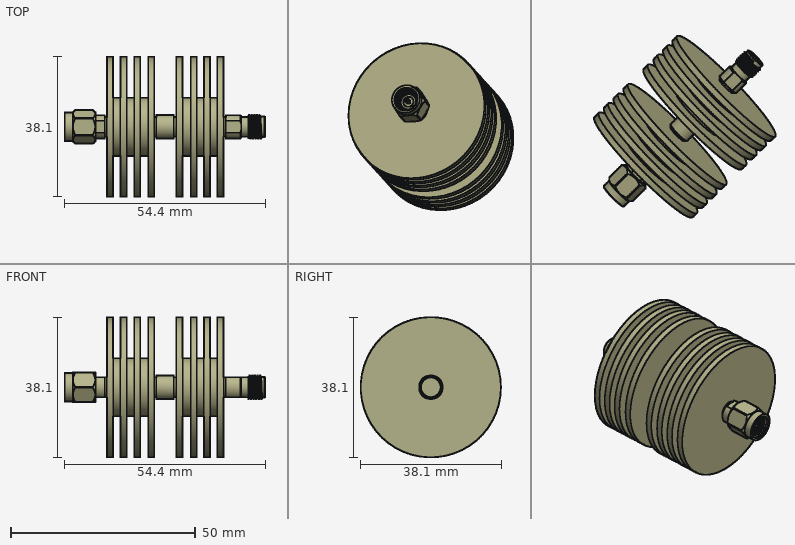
import cadquery as cq
import math


NUT_RING_END = 2.1
NUT_END = 8.35
FRONT_FLATS_END = 10.85
FRONT_FIN_STARTS = (11.4, 15.1, 18.8, 22.6)
REAR_FIN_STARTS = (30.2, 34.15, 37.7, 41.35)
FIN_THICKNESS = 1.75
COLLAR_START = 24.85
COLLAR_END = 29.6
REAR_FLATS_START = 43.7
REAR_FLATS_END = 47.85
JACK_BARREL_START = 49.8
TOTAL_LENGTH = 54.35

FIN_DIAMETER = 38.1
HUB_DIAMETER = 15.9
COLLAR_DIAMETER = 6.4
NECK_DIAMETER = 5.45
WRENCH_FLATS = 5.5
WRENCH_CHAMFER = 0.25
JACK_CHAMFER = 0.15

SLEEVE_DIAMETER = 4.55
SLEEVE_CHAMFER = 0.15
SLEEVE_FRONT = 2.7
INSULATOR_DIAMETER = 2.8
INSULATOR_RECESS = 0.15
PIN_DIAMETER = 1.1
PIN_TIP_DIAMETER = 0.4
PIN_TIP_LENGTH = 0.55
PIN_FRONT = 0.75

NUT_RING_DIAMETER = 7.85
NUT_ACROSS_FLATS = 8.05
NUT_CORNER_DIAMETER = 9.15
NUT_CHAMFER_LENGTH = 0.7
NUT_CAVITY_DEPTH = 4.35
NUT_MOUTH_DEPTH = 0.6

THREAD_PITCH = 0.7
THREAD_DIAMETER = 6.4
THREAD_DEPTH = 0.4
THREAD_ROOT_WIDTH = 0.6
THREAD_CREST_WIDTH = 0.135
THREAD_EMBED = 0.05
JACK_THREAD_START = 49.3
JACK_THREAD_TURNS = 5.75
NUT_THREAD_TURNS = 4


def cylinder(start, end, diameter):
    return cq.Workplane("YZ", origin=(start, 0, 0)).circle(diameter / 2).extrude(end - start)


def thread_ridge(start, turns, root_radius, crest_radius):
    """Right-hand helical ridge along X, starting on the +Y side and sunk slightly into its root surface."""
    base_radius = root_radius - THREAD_EMBED
    helix = cq.Wire.makeHelix(THREAD_PITCH, turns * THREAD_PITCH, root_radius)
    profile = (
        cq.Workplane("XZ")
        .moveTo(base_radius, -THREAD_ROOT_WIDTH / 2)
        .lineTo(crest_radius, -THREAD_CREST_WIDTH / 2)
        .lineTo(crest_radius, THREAD_CREST_WIDTH / 2)
        .lineTo(base_radius, THREAD_ROOT_WIDTH / 2)
        .close()
    )
    ridge = profile.sweep(cq.Workplane(helix), isFrenet=True).val()
    return cq.Workplane(ridge).rotate((0, 0, 0), (1, 1, 1), 120).translate((start, 0, 0))


def wrench_section(start, end):
    """Round collar with two parallel flats facing +Z and -Z."""
    flats = cq.Workplane("XY").box(end - start, COLLAR_DIAMETER, WRENCH_FLATS)
    return cylinder(start, end, COLLAR_DIAMETER).intersect(flats.translate(((start + end) / 2, 0, 0)))


def fin_stack(starts):
    stack = cylinder(starts[0], starts[-1] + FIN_THICKNESS, HUB_DIAMETER)
    for start in starts:
        stack = stack.union(cylinder(start, start + FIN_THICKNESS, FIN_DIAMETER))
    return stack


def plug_end():
    """Sleeve inside the nut, with its recessed insulator face and pointed center pin."""
    sleeve = cylinder(SLEEVE_FRONT, NUT_END, SLEEVE_DIAMETER).faces("<X").chamfer(SLEEVE_CHAMFER)
    sleeve = sleeve.cut(cylinder(SLEEVE_FRONT, SLEEVE_FRONT + INSULATOR_RECESS, INSULATOR_DIAMETER))
    pin_half_profile = (
        cq.Workplane("XY")
        .moveTo(PIN_FRONT, 0)
        .lineTo(PIN_FRONT, PIN_TIP_DIAMETER / 2)
        .lineTo(PIN_FRONT + PIN_TIP_LENGTH, PIN_DIAMETER / 2)
        .lineTo(NUT_END, PIN_DIAMETER / 2)
        .lineTo(NUT_END, 0)
        .close()
    )
    return sleeve.union(pin_half_profile.revolve(360, (0, 0, 0), (1, 0, 0)))


def jack_end():
    """Barrel with a chamfered rim, its thread trimmed flush at the barrel's inner end."""
    root_diameter = THREAD_DIAMETER - 2 * THREAD_DEPTH
    barrel = cylinder(JACK_BARREL_START, TOTAL_LENGTH, root_diameter).faces(">X").chamfer(JACK_CHAMFER)
    ridge = thread_ridge(JACK_THREAD_START, JACK_THREAD_TURNS, root_diameter / 2, THREAD_DIAMETER / 2)
    return barrel.union(ridge.intersect(cylinder(JACK_BARREL_START, TOTAL_LENGTH, FIN_DIAMETER)))


def rear_wrench_section():
    """Wrench section near the jack, chamfered at its outer end."""
    chamfered_collar = cylinder(REAR_FLATS_START, REAR_FLATS_END, COLLAR_DIAMETER)
    chamfered_collar = chamfered_collar.faces(">X").chamfer(WRENCH_CHAMFER)
    return wrench_section(REAR_FLATS_START, REAR_FLATS_END).intersect(chamfered_collar)


def make_attenuator():
    return (
        cylinder(FRONT_FLATS_END, JACK_BARREL_START, NECK_DIAMETER)
        .union(wrench_section(NUT_END, FRONT_FLATS_END))
        .union(fin_stack(FRONT_FIN_STARTS))
        .union(cylinder(COLLAR_START, COLLAR_END, COLLAR_DIAMETER))
        .union(fin_stack(REAR_FIN_STARTS))
        .union(rear_wrench_section())
        .union(plug_end())
        .union(jack_end())
    )


def hexagon_section():
    """Hexagon with flats facing +Z and -Z, its corners turned down and beveled at both ends."""
    sides = 6
    corner_to_corner = NUT_ACROSS_FLATS / math.cos(math.pi / sides)
    hexagon = (
        cq.Workplane("YZ", origin=(NUT_RING_END, 0, 0))
        .polygon(sides, corner_to_corner)
        .extrude(NUT_END - NUT_RING_END)
    )
    bevel_height = (NUT_CORNER_DIAMETER - NUT_RING_DIAMETER) / 2
    turned_blank = (
        cylinder(NUT_RING_END, NUT_END, NUT_CORNER_DIAMETER)
        .faces("<X")
        .chamfer(NUT_CHAMFER_LENGTH, bevel_height)
        .faces(">X")
        .chamfer(NUT_CHAMFER_LENGTH, bevel_height)
    )
    return hexagon.intersect(turned_blank)


def threaded_cavity():
    """Space inside the nut: a bore with a wider mouth, a conical lead-in and a helical thread groove."""
    bore_radius = THREAD_DIAMETER / 2 - THREAD_DEPTH
    bore = cylinder(0, NUT_CAVITY_DEPTH, 2 * bore_radius)
    mouth = cylinder(0, NUT_MOUTH_DEPTH, THREAD_DIAMETER)
    lead_in = mouth.faces(">X").workplane().circle(THREAD_DIAMETER / 2).extrude(THREAD_DEPTH, taper=45)
    groove = thread_ridge(NUT_MOUTH_DEPTH + THREAD_DEPTH, NUT_THREAD_TURNS, bore_radius, THREAD_DIAMETER / 2)
    return bore.union(lead_in).union(groove)


def make_nut():
    return (
        cylinder(0, NUT_RING_END, NUT_RING_DIAMETER)
        .union(hexagon_section())
        .cut(threaded_cavity())
        .cut(cylinder(NUT_CAVITY_DEPTH, NUT_END, SLEEVE_DIAMETER))
    )


attenuator = make_attenuator()
nut = make_nut()
result = cq.Compound.makeCompound([attenuator.solids().val(), nut.solids().val()])